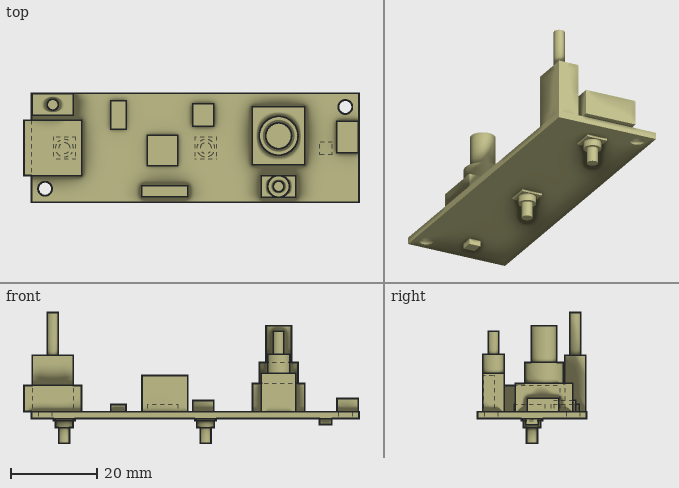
import cadquery as cq

BOARD_LENGTH = 76.2
BOARD_WIDTH = 25.4
BOARD_THICKNESS = 1.6
MOUNT_HOLE_DIAMETER = 3.2
MOUNT_HOLE_INSET = 3.2

SOCKET_OVERHANG = 1.7
SOCKET = (-SOCKET_OVERHANG, 6.2, 13.4, 12.9, 6.1)
MEMORY_CHIP = (18.5, 17.1, 3.6, 6.6, 1.6)
PROCESSOR_CHIP = (26.95, 8.6, 7.1, 7.1, 1.6)
REGULATOR = (37.5, 17.8, 5.0, 5.15, 2.6)
UPRIGHT_HEADER = (25.7, 1.3, 10.7, 2.6, 8.4)
EDGE_CONNECTOR = (71.1, 11.6, 5.0, 7.3, 3.0)

ANTENNA_X = 5.0
ANTENNA_Y = 22.75
ANTENNA_SIZE = (9.6, 5.0)
ANTENNA_HEIGHT = 13.1
ROD_DIAMETER = 2.6
ROD_TOP = 23.1

CONTROL_X = 57.5
ENCODER_Y = 15.5
ENCODER_SIZE = (12.2, 13.4)
ENCODER_HEIGHT = 6.55
ENCODER_COLLAR_DIAMETER = 9.0
ENCODER_COLLAR_TOP = 11.45
ENCODER_SHAFT_DIAMETER = 6.0
ENCODER_SHAFT_TOP = 19.95

BUTTON_Y = 3.75
BUTTON_SIZE = (8.0, 5.1)
BUTTON_HEIGHT = 8.9
BUTTON_COLLAR_DIAMETER = 5.1
BUTTON_COLLAR_TOP = 13.3
BUTTON_PIN_DIAMETER = 2.5
BUTTON_PIN_TOP = 18.7

CENTRE_Y = BOARD_WIDTH / 2
LOWER_PIN_POSITIONS = (7.6, 40.5)
FLANGE_SIDE = 5.1
FLANGE_DEPTH = 0.5
SHOULDER_DIAMETER = 4.1
SHOULDER_DEPTH = 2.1
LOWER_PIN_DIAMETER = 2.6
LOWER_PIN_DEPTH = 5.8
LOWER_BLOCK_X = 68.4
LOWER_BLOCK_SIDE = 2.9
LOWER_BLOCK_DEPTH = 1.4


def corner_block(x, y, length, width, height):
    """Block standing on the board with its lowest X and Y at (x, y)."""
    return cq.Workplane("XY").box(length, width, height, centered=False).translate((x, y, 0))


def centred_block(x, y, size, height):
    """Block standing on the board with its middle at (x, y)."""
    length, width = size
    return corner_block(x - length / 2, y - width / 2, length, width, height)


def stepped_stack(x, y, base_z, steps):
    """Coaxial cylinders, each given as (diameter, Z of its far end)."""
    stack = cq.Workplane("XY")
    start_z = base_z
    for diameter, end_z in steps:
        cylinder = (
            cq.Workplane("XY", origin=(x, y, start_z)).circle(diameter / 2).extrude(end_z - start_z)
        )
        stack = stack.union(cylinder)
        start_z = end_z
    return stack


def make_board():
    """Flat board with mounting holes in two opposite corners."""
    board = corner_block(0, 0, BOARD_LENGTH, BOARD_WIDTH, BOARD_THICKNESS)
    holes = (
        cq.Workplane("XY")
        .pushPoints([
            (MOUNT_HOLE_INSET, MOUNT_HOLE_INSET),
            (BOARD_LENGTH - MOUNT_HOLE_INSET, BOARD_WIDTH - MOUNT_HOLE_INSET),
        ])
        .circle(MOUNT_HOLE_DIAMETER / 2)
        .extrude(BOARD_THICKNESS)
    )
    return board.cut(holes).translate((0, 0, -BOARD_THICKNESS))


def make_antenna():
    housing = centred_block(ANTENNA_X, ANTENNA_Y, ANTENNA_SIZE, ANTENNA_HEIGHT)
    rod = stepped_stack(ANTENNA_X, ANTENNA_Y, ANTENNA_HEIGHT, [(ROD_DIAMETER, ROD_TOP)])
    return housing.union(rod)


def make_encoder():
    body = centred_block(CONTROL_X, ENCODER_Y, ENCODER_SIZE, ENCODER_HEIGHT)
    shaft = stepped_stack(CONTROL_X, ENCODER_Y, ENCODER_HEIGHT, [
        (ENCODER_COLLAR_DIAMETER, ENCODER_COLLAR_TOP),
        (ENCODER_SHAFT_DIAMETER, ENCODER_SHAFT_TOP),
    ])
    return body.union(shaft)


def make_button():
    """Push button whose collar is as wide as its body is deep."""
    body = centred_block(CONTROL_X, BUTTON_Y, BUTTON_SIZE, BUTTON_HEIGHT)
    plunger = stepped_stack(CONTROL_X, BUTTON_Y, BUTTON_HEIGHT, [
        (BUTTON_COLLAR_DIAMETER, BUTTON_COLLAR_TOP),
        (BUTTON_PIN_DIAMETER, BUTTON_PIN_TOP),
    ])
    return body.union(plunger)


def make_lower_pin(x):
    """Pin hanging below the board, stepping down from a thin square flange."""
    flange_z = -BOARD_THICKNESS - FLANGE_DEPTH
    flange = centred_block(x, CENTRE_Y, (FLANGE_SIDE, FLANGE_SIDE), FLANGE_DEPTH)
    pin = stepped_stack(x, CENTRE_Y, flange_z, [
        (SHOULDER_DIAMETER, -BOARD_THICKNESS - SHOULDER_DEPTH),
        (LOWER_PIN_DIAMETER, -BOARD_THICKNESS - LOWER_PIN_DEPTH),
    ])
    return flange.translate((0, 0, flange_z)).union(pin)


def make_lower_block():
    block = centred_block(
        LOWER_BLOCK_X, CENTRE_Y, (LOWER_BLOCK_SIDE, LOWER_BLOCK_SIDE), LOWER_BLOCK_DEPTH
    )
    return block.translate((0, 0, -BOARD_THICKNESS - LOWER_BLOCK_DEPTH))


result = make_board()

for component in (SOCKET, MEMORY_CHIP, PROCESSOR_CHIP, REGULATOR, UPRIGHT_HEADER, EDGE_CONNECTOR):
    result = result.union(corner_block(*component))

for assembly in (make_antenna(), make_encoder(), make_button(), make_lower_block()):
    result = result.union(assembly)

for pin_x in LOWER_PIN_POSITIONS:
    result = result.union(make_lower_pin(pin_x))